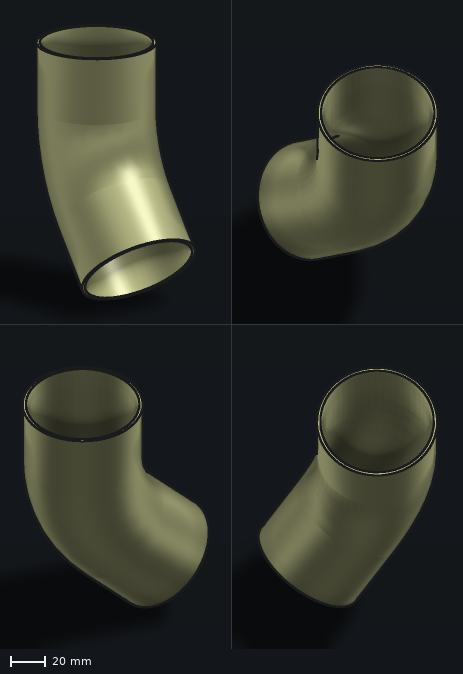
import cadquery as cq
import math

overall_height = 149.0
outer_diameter = 70.0
inner_diameter = 66.0
bend_radius = 80.0
bend_angle = 43.5
lower_length = 41.1

outer_radius = outer_diameter / 2
angle = math.radians(bend_angle)
bend_height = (bend_radius + outer_radius) * math.sin(angle)
lower_height = lower_length * math.cos(angle)
upper_length = overall_height - bend_height - lower_height


def bend_point(turn):
    """Point on the centreline after turning through an angle in radians."""
    x = bend_radius * (1 - math.cos(turn))
    z = -upper_length - bend_radius * math.sin(turn)
    return x, z


bend_end_x, bend_end_z = bend_point(angle)
lower_mouth = (
    bend_end_x + lower_length * math.sin(angle),
    bend_end_z - lower_length * math.cos(angle),
)
centreline = (
    cq.Workplane("XZ")
    .lineTo(0, -upper_length)
    .threePointArc(bend_point(angle / 2), (bend_end_x, bend_end_z))
    .lineTo(*lower_mouth)
)

wall = cq.Workplane("XY").circle(outer_radius).circle(inner_diameter / 2)
result = wall.sweep(centreline)